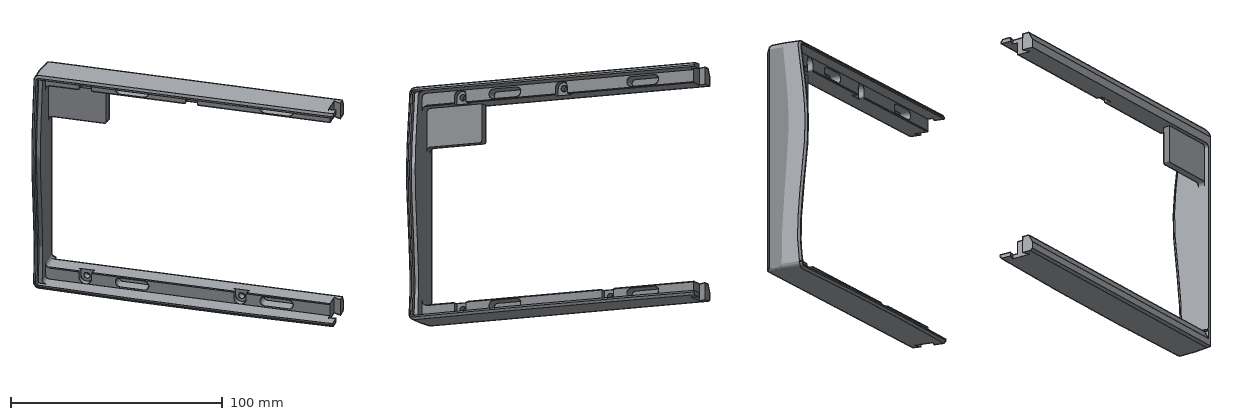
import cadquery as cq
import math

LENGTH = 147.35
HEIGHT = 112.2
MAX_DEPTH = 21.84
TOLERANCE = 0.01
MARGIN = 5.0

SIDE_SKIN = 1.95
RAIL_SKIN = 2.0
CORNER_RADIUS = 2.95
TOP_DEPTH = 18.1
BOTTOM_DEPTH = 18.9
BOTTOM_BULGE_DEPTH = 20.1
FRONT_CHAMFER_SIDE = 0.85
FRONT_CHAMFER_DEPTH = 1.2

LOWER_TANGENT_Z = CORNER_RADIUS
UPPER_TANGENT_Z = HEIGHT - CORNER_RADIUS
FRONT_WAVE = [
    (LOWER_TANGENT_Z, BOTTOM_DEPTH),
    (20.0, 17.85),
    (46.0, 20.0),
    (70.5, MAX_DEPTH),
    (94.0, 20.05),
    (UPPER_TANGENT_Z, TOP_DEPTH),
]
CREASE = [
    (-MARGIN, 9.0),
    (20.0, 8.9),
    (46.0, 10.8),
    (71.0, 12.3),
    (92.0, 11.2),
    (HEIGHT - CORNER_RADIUS, 9.4),
    (HEIGHT + MARGIN, 9.2),
]
SIDE_THICKNESS = 3.85
LIP_STEP_BACK = 2.2
TAPER_INSET = 1.05
BEVEL_INSET = 2.0
BEVEL_DEPTH = 1.4

LEDGE_DEPTH = 11.3
LEDGE_HEIGHT = 8.2
LEDGE_CHAMFER = 0.4
BACK_BEVEL_DEPTH = 2.15
BACK_BEVEL_HEIGHT = 4.0
BOTTOM_BEVEL_DEPTH = 1.4
BOTTOM_BEVEL_HEIGHT = 0.9
INNER_CORNER_RADIUS = 2.0
LIP_CORNER_RADIUS = CORNER_RADIUS - SIDE_SKIN
SEAT_HEIGHT = 4.95
SLOT_HEIGHT = 5.1

SLOT_CENTERS_X = (46.5, 117.6)
SLOT_LENGTH = 16.3
SLOT_WIDTH = 4.7
SLOT_DEPTH = 5.0
SLOT_DRAFT = 5.7

TOP_SEATS_X = (23.5, 75.7)
BOTTOM_SEATS_X = (23.5, 99.6)
SEAT_RADIUS = 3.0
SEAT_DEPTH = 3.0
SEAT_FLARE = 0.8
SCREW_DIAMETER = 3.0
SCREW_DEPTH = 4.0
SCREW_TIP_HEIGHT = 0.9

NOTCH_LENGTH = 3.55
NOTCH_FLOOR_DEPTHS = (4.1, 13.7)
NOTCH_MOUTH_DEPTHS = (5.7, 12.8)

PLATE_END_X = 32.7
PLATE_BOTTOM_Z = HEIGHT - 26.9
PLATE_FRONT = 5.8
PLATE_BACK = BACK_BEVEL_DEPTH
PLATE_EDGE_DRAFT = 0.5
PLATE_CORNER_RADIUS = 1.0


def box(x0, x1, y0, y1, z0, z1):
    return cq.Workplane("XY").box(x1 - x0, y1 - y0, z1 - z0, centered=False).translate((x0, y0, z0))


def mirrored(shape):
    """Copies a bottom-rail shape to the top rail."""
    return shape.mirror("XY", (0, 0, HEIGHT / 2))


def wave_prism(step_back, x0, x1):
    """Region behind the wavy front edge, moved back by step_back, between x0 and x1."""
    edge = [(-depth + step_back, z) for z, depth in FRONT_WAVE]
    return (
        cq.Workplane("YZ", origin=(x0, 0, 0))
        .moveTo(0, 0)
        .lineTo(edge[0][0], 0)
        .lineTo(*edge[0])
        .spline(edge[1:], includeCurrent=True)
        .lineTo(edge[-1][0], HEIGHT)
        .lineTo(0, HEIGHT)
        .close()
        .extrude(x1 - x0)
    )


def side_taper_cutter():
    """Trims the outer face of the left wall from the crease to the back plane."""
    sections = cq.Workplane("XY")
    level = 0.0
    for z, crease_depth in CREASE:
        sections = (
            sections.workplane(offset=z - level)
            .polyline(
                [
                    (0, -crease_depth),
                    (TAPER_INSET, -BEVEL_DEPTH),
                    (BEVEL_INSET, 0),
                    (-MARGIN, 0),
                    (-MARGIN, -crease_depth),
                ]
            )
            .close()
        )
        level = z
    return sections.loft(ruled=False)


def outer_block():
    block = box(0, LENGTH, -MAX_DEPTH - MARGIN, 0, 0, HEIGHT).cut(side_taper_cutter())
    corner_lines = [
        edge
        for edge in block.faces("<Z or >Z").edges().vals()
        if edge.Center().x < BEVEL_INSET and -edge.Center().y > BEVEL_DEPTH
    ]
    return block.newObject(corner_lines).fillet(CORNER_RADIUS)


def front_limit():
    """Region behind the front edges of the left wall and of the two rails."""
    bottom = (
        cq.Workplane("XY")
        .moveTo(CORNER_RADIUS, 0)
        .lineTo(CORNER_RADIUS, -BOTTOM_DEPTH)
        .threePointArc(((CORNER_RADIUS + LENGTH) / 2, -BOTTOM_BULGE_DEPTH), (LENGTH, -BOTTOM_DEPTH))
        .lineTo(LENGTH, 0)
        .close()
        .extrude(HEIGHT / 2)
    )
    top = box(CORNER_RADIUS, LENGTH, -TOP_DEPTH, 0, HEIGHT / 2, HEIGHT)
    return wave_prism(0, 0, SIDE_THICKNESS).union(bottom).union(top)


def is_outer_front_edge(edge):
    """True for the edges along the outside of the front opening, corners included."""
    bounds = edge.BoundingBox()
    if bounds.ymax > -(LEDGE_DEPTH + BOTTOM_DEPTH) / 2:
        return False
    on_rail = bounds.zmax < TOLERANCE or bounds.zmin > HEIGHT - TOLERANCE
    on_left_wall = bounds.xmax < TOLERANCE
    on_corner = edge.geomType() == "CIRCLE" and bounds.xmax < CORNER_RADIUS + TOLERANCE
    return on_rail or on_left_wall or on_corner


def chamfer_front(body):
    """Bevels the outside front edge of the left wall, its corners and the rails."""
    edges = [edge for edge in body.edges().vals() if is_outer_front_edge(edge)]
    return body.newObject(edges).chamfer(FRONT_CHAMFER_SIDE, FRONT_CHAMFER_DEPTH)


def prism_along_x(points, x0, x1):
    """Extrudes a closed (y, z) polygon from x0 to x1."""
    return cq.Workplane("YZ", origin=(x0, 0, 0)).polyline(points).close().extrude(x1 - x0)


def back_bevel_cutter(top_z, x0):
    """Steep bevel along the upper back edge of a rail whose upper face is at top_z."""
    points = [(-BACK_BEVEL_DEPTH, top_z), (0, top_z - BACK_BEVEL_HEIGHT), (0, top_z)]
    return prism_along_x(points, x0, LENGTH)


def bottom_bevel_cutter():
    """Small bevel under the back edge of the bottom rail."""
    points = [(-BOTTOM_BEVEL_DEPTH, 0), (0, BOTTOM_BEVEL_HEIGHT), (0, 0)]
    return prism_along_x(points, 0, LENGTH)


def recess(x0, radius):
    """Space in front of the ledges, between the wall skins, with rounded inner corners."""
    space = box(x0, LENGTH + MARGIN, -MAX_DEPTH - MARGIN, -LEDGE_DEPTH, RAIL_SKIN, HEIGHT - RAIL_SKIN)
    return space.edges("|Y and <X").fillet(radius)


def lip_recess():
    """Thins the left wall to a lip in front of a step that follows the wavy edge."""
    reach = SIDE_THICKNESS + INNER_CORNER_RADIUS
    near_wall = box(0, reach, -MAX_DEPTH - MARGIN, 0, 0, HEIGHT)
    behind_step = wave_prism(LIP_STEP_BACK, 0, reach)
    return recess(SIDE_SKIN, LIP_CORNER_RADIUS).intersect(near_wall).cut(behind_step)


def opening():
    """Through opening between the two ledges, with chamfered front edges along the ledges."""
    space = box(SIDE_THICKNESS, LENGTH + MARGIN, -LEDGE_DEPTH, 0, LEDGE_HEIGHT, HEIGHT - LEDGE_HEIGHT)
    space = space.edges("|Y and <X").fillet(INNER_CORNER_RADIUS)
    edge_height = LEDGE_HEIGHT - LEDGE_CHAMFER
    bevel = prism_along_x(
        [
            (-LEDGE_DEPTH, edge_height),
            (-LEDGE_DEPTH + LEDGE_CHAMFER, LEDGE_HEIGHT),
            (-LEDGE_DEPTH, LEDGE_HEIGHT),
        ],
        SIDE_THICKNESS + INNER_CORNER_RADIUS,
        LENGTH,
    )
    return space.union(bevel).union(mirrored(bevel))


def notch():
    """Dovetail notch through both rails at the open end."""
    floor_x = LENGTH - NOTCH_LENGTH
    points = [
        (floor_x, -NOTCH_FLOOR_DEPTHS[0]),
        (LENGTH, -NOTCH_MOUTH_DEPTHS[0]),
        (LENGTH, -NOTCH_MOUTH_DEPTHS[1]),
        (floor_x, -NOTCH_FLOOR_DEPTHS[1]),
    ]
    return cq.Workplane("XY").polyline(points).close().extrude(HEIGHT)


def rail_plane(x, z, depth=LEDGE_DEPTH):
    """Sketch plane facing -Y at a slot or screw position of the bottom rail."""
    return cq.Workplane("XZ", origin=(x, -depth, z))


def slot(x):
    """Blind slot that narrows toward its floor."""
    rim = rail_plane(x, SLOT_HEIGHT).slot2D(SLOT_LENGTH, SLOT_WIDTH)
    return rim.extrude(-SLOT_DEPTH, taper=SLOT_DRAFT)


def screw_seat(x):
    """U-shaped pocket open toward the middle, flared at its mouth, with a blind screw hole."""
    mouth = LEDGE_HEIGHT - SEAT_HEIGHT
    beyond = mouth + SEAT_FLARE
    flare_start = mouth - SEAT_FLARE
    flared = SEAT_RADIUS + SEAT_FLARE
    bend = SEAT_FLARE * (1 - math.sqrt(0.5))
    pocket = (
        rail_plane(x, SEAT_HEIGHT)
        .moveTo(-flared, beyond)
        .lineTo(-flared, mouth)
        .threePointArc((-SEAT_RADIUS - bend, mouth - bend), (-SEAT_RADIUS, flare_start))
        .lineTo(-SEAT_RADIUS, 0)
        .threePointArc((0, -SEAT_RADIUS), (SEAT_RADIUS, 0))
        .lineTo(SEAT_RADIUS, flare_start)
        .threePointArc((SEAT_RADIUS + bend, mouth - bend), (flared, mouth))
        .lineTo(flared, beyond)
        .close()
        .extrude(-SEAT_DEPTH)
    )
    floor_depth = LEDGE_DEPTH - SEAT_DEPTH
    hole = rail_plane(x, SEAT_HEIGHT, floor_depth).circle(SCREW_DIAMETER / 2).extrude(-SCREW_DEPTH)
    tip = cq.Solid.makeCone(
        SCREW_DIAMETER / 2,
        0,
        SCREW_TIP_HEIGHT,
        cq.Vector(x, SCREW_DEPTH - floor_depth, SEAT_HEIGHT),
        cq.Vector(0, 1, 0),
    )
    return pocket.union(hole).union(cq.Workplane(tip))


def corner_plate():
    """Plate in the upper left corner, with a drafted free edge and a fillet to the left wall."""
    start_x = SIDE_THICKNESS / 2 + BEVEL_INSET / 2
    top_z = HEIGHT - LEDGE_HEIGHT / 2
    outline = [
        (start_x, -PLATE_BACK),
        (PLATE_END_X, -PLATE_BACK),
        (PLATE_END_X - PLATE_EDGE_DRAFT, -PLATE_FRONT),
        (start_x, -PLATE_FRONT),
    ]
    plate = (
        cq.Workplane("XY", origin=(0, 0, PLATE_BOTTOM_Z))
        .polyline(outline)
        .close()
        .extrude(top_z - PLATE_BOTTOM_Z)
        .faces(">X")
        .edges("<Z")
        .fillet(PLATE_CORNER_RADIUS)
    )
    web_bottom = PLATE_BOTTOM_Z - INNER_CORNER_RADIUS
    web_end = SIDE_THICKNESS + INNER_CORNER_RADIUS
    web = box(SIDE_THICKNESS, web_end, -PLATE_FRONT, -PLATE_BACK, web_bottom, PLATE_BOTTOM_Z)
    rounding = (
        cq.Workplane("XZ", origin=(web_end, 0, web_bottom))
        .circle(INNER_CORNER_RADIUS)
        .extrude(PLATE_FRONT)
    )
    return plate.union(web.cut(rounding))


body = chamfer_front(outer_block().intersect(front_limit()))
body = body.cut(recess(SIDE_THICKNESS, INNER_CORNER_RADIUS))
body = body.cut(lip_recess())
body = body.cut(opening())

body = body.cut(back_bevel_cutter(HEIGHT, 0))
body = body.cut(back_bevel_cutter(LEDGE_HEIGHT, SIDE_THICKNESS))
body = body.cut(bottom_bevel_cutter())

body = body.union(corner_plate())
body = body.cut(notch())

for slot_x in SLOT_CENTERS_X:
    body = body.cut(slot(slot_x))
    body = body.cut(mirrored(slot(slot_x)))
for seat_x in BOTTOM_SEATS_X:
    body = body.cut(screw_seat(seat_x))
for seat_x in TOP_SEATS_X:
    body = body.cut(mirrored(screw_seat(seat_x)))

result = body